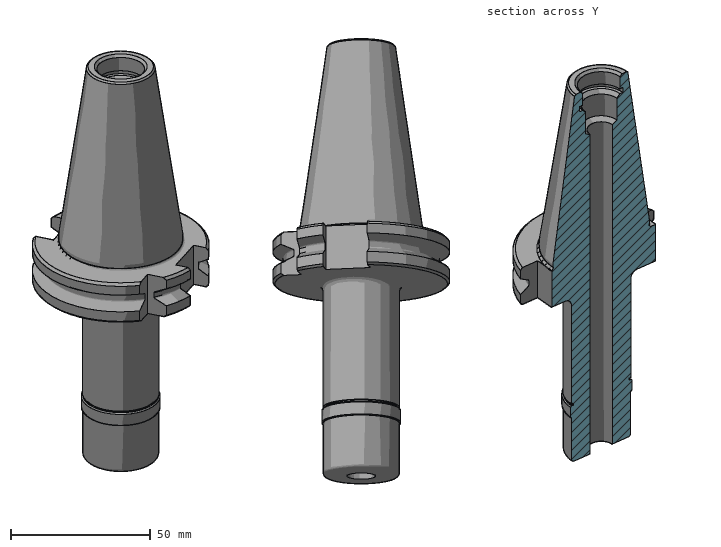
import cadquery as cq
import math

TOP_Z = 68.5
OVERALL_LENGTH = 158.4
BOTTOM_Z = TOP_Z - OVERALL_LENGTH

GAUGE_DIAMETER = 44.5
GAUGE_RADIUS = GAUGE_DIAMETER / 2
TAPER_RATIO = 7 / 24
TAPER_BASE_Z = -0.6
TAPER_TOP_CHAMFER = 0.6

NECK_GROOVE_TOP_Z = -1.9
NECK_GROOVE_DEPTH = 0.2
NECK_FILLET = 1.0

FLANGE_DIAMETER = 63.5
FLANGE_RADIUS = FLANGE_DIAMETER / 2
FLANGE_TOP_Z = -3.2
FLANGE_THICKNESS = 16.0
FLANGE_BOTTOM_Z = FLANGE_TOP_Z - FLANGE_THICKNESS
FLANGE_TOP_CHAMFER = 1.0
FLANGE_BOTTOM_CHAMFER = 0.8
GROOVE_CENTRE_Z = -11.1
GROOVE_FLOOR_RADIUS = 28.0
GROOVE_FLOOR_WIDTH = 2.5
GROOVE_FLANK_ANGLE = 30.0
GROOVE_FLOOR_FILLET = 0.6

KEY_SLOT_WIDTH = 16.2
KEY_SLOT_FLOOR_LEFT = 22.8
KEY_SLOT_FLOOR_RIGHT = 25.0
CORNER_NOTCH_OFFSET = 18.5

BODY_RADIUS = 13.8
LOWER_BODY_DIAMETER = 27.4
LOWER_BODY_RADIUS = LOWER_BODY_DIAMETER / 2
BODY_FILLET = 2.9
BODY_END_FILLET = 1.3
COLLAR_DIAMETER = 28.4
COLLAR_RADIUS = COLLAR_DIAMETER / 2
COLLAR_TOP_Z = -65.4
COLLAR_BOTTOM_Z = -70.6
COLLAR_TOP_CHAMFER = 0.5
COLLAR_BOTTOM_CHAMFER = 0.3
COLLAR_GROOVE_WIDTH = 0.6
COLLAR_GROOVE_DEPTH = 0.8

BORE_RADIUS = 5.0
COUNTERBORE_RADIUS = 8.5
COUNTERBORE_DEPTH = 6.3
COUNTERBORE_CHAMFER = 1.0
UNDERCUT_RADIUS = 9.8
UNDERCUT_WIDTH = 1.9
DRILL_RADIUS = 7.1
DRILL_DEPTH = 19.0
DRILL_TIP_HALF_ANGLE = 59.0


def taper_radius(z):
    """Radius of the taper shank at height z."""
    return GAUGE_RADIUS - z * TAPER_RATIO / 2


def turned_body():
    """Outer shape of the holder, revolved about Z."""
    taper_base_radius = taper_radius(TAPER_BASE_Z)
    neck_radius = taper_base_radius - NECK_GROOVE_DEPTH
    shoulder_z = TOP_Z - TAPER_TOP_CHAMFER
    floor_half = GROOVE_FLOOR_WIDTH / 2
    flank_rise = (FLANGE_RADIUS - GROOVE_FLOOR_RADIUS) * math.tan(math.radians(GROOVE_FLANK_ANGLE))
    rim_half = floor_half + flank_rise
    fillet_mid = 1 - math.sqrt(0.5)
    collar_groove_top_z = COLLAR_TOP_Z + COLLAR_GROOVE_WIDTH
    collar_groove_radius = BODY_RADIUS - COLLAR_GROOVE_DEPTH

    profile = (
        cq.Workplane("XZ")
        .moveTo(0, TOP_Z)
        .lineTo(taper_radius(shoulder_z) - TAPER_TOP_CHAMFER, TOP_Z)
        .lineTo(taper_radius(shoulder_z), shoulder_z)
        .lineTo(taper_base_radius, TAPER_BASE_Z)
        .lineTo(taper_base_radius, NECK_GROOVE_TOP_Z)
        .lineTo(neck_radius, NECK_GROOVE_TOP_Z - NECK_GROOVE_DEPTH)
        .lineTo(neck_radius, FLANGE_TOP_Z + NECK_FILLET)
        .threePointArc(
            (neck_radius + NECK_FILLET * fillet_mid, FLANGE_TOP_Z + NECK_FILLET * fillet_mid),
            (neck_radius + NECK_FILLET, FLANGE_TOP_Z),
        )
        .lineTo(FLANGE_RADIUS - FLANGE_TOP_CHAMFER, FLANGE_TOP_Z)
        .lineTo(FLANGE_RADIUS, FLANGE_TOP_Z - FLANGE_TOP_CHAMFER)
        .lineTo(FLANGE_RADIUS, GROOVE_CENTRE_Z + rim_half)
        .lineTo(GROOVE_FLOOR_RADIUS, GROOVE_CENTRE_Z + floor_half)
        .lineTo(GROOVE_FLOOR_RADIUS, GROOVE_CENTRE_Z - floor_half)
        .lineTo(FLANGE_RADIUS, GROOVE_CENTRE_Z - rim_half)
        .lineTo(FLANGE_RADIUS, FLANGE_BOTTOM_Z + FLANGE_BOTTOM_CHAMFER)
        .lineTo(FLANGE_RADIUS - FLANGE_BOTTOM_CHAMFER, FLANGE_BOTTOM_Z)
        .lineTo(BODY_RADIUS + BODY_FILLET, FLANGE_BOTTOM_Z)
        .threePointArc(
            (BODY_RADIUS + BODY_FILLET * fillet_mid, FLANGE_BOTTOM_Z - BODY_FILLET * fillet_mid),
            (BODY_RADIUS, FLANGE_BOTTOM_Z - BODY_FILLET),
        )
        .lineTo(BODY_RADIUS, collar_groove_top_z)
        .lineTo(collar_groove_radius, collar_groove_top_z)
        .lineTo(collar_groove_radius, COLLAR_TOP_Z)
        .lineTo(COLLAR_RADIUS - COLLAR_TOP_CHAMFER, COLLAR_TOP_Z)
        .lineTo(COLLAR_RADIUS, COLLAR_TOP_Z - COLLAR_TOP_CHAMFER)
        .lineTo(COLLAR_RADIUS, COLLAR_BOTTOM_Z + COLLAR_BOTTOM_CHAMFER)
        .lineTo(COLLAR_RADIUS - COLLAR_BOTTOM_CHAMFER, COLLAR_BOTTOM_Z)
        .lineTo(LOWER_BODY_RADIUS, COLLAR_BOTTOM_Z)
        .lineTo(LOWER_BODY_RADIUS, BOTTOM_Z + BODY_END_FILLET)
        .threePointArc(
            (LOWER_BODY_RADIUS - BODY_END_FILLET * fillet_mid, BOTTOM_Z + BODY_END_FILLET * fillet_mid),
            (LOWER_BODY_RADIUS - BODY_END_FILLET, BOTTOM_Z),
        )
        .lineTo(0, BOTTOM_Z)
        .close()
    )
    body = profile.revolve(360, (0, 0, 0), (0, 1, 0))
    floor_corners = cq.selectors.BoxSelector(
        (-FLANGE_RADIUS, -FLANGE_RADIUS, GROOVE_CENTRE_Z - GROOVE_FLOOR_WIDTH),
        (FLANGE_RADIUS, FLANGE_RADIUS, GROOVE_CENTRE_Z + GROOVE_FLOOR_WIDTH),
    )
    return body.edges("%CIRCLE").edges(floor_corners).fillet(GROOVE_FLOOR_FILLET)


def stepped_bore():
    """Through bore that widens towards the small end of the taper."""
    step_z = TOP_Z - COUNTERBORE_DEPTH
    undercut_end_z = step_z - UNDERCUT_WIDTH
    drill_z = TOP_Z - DRILL_DEPTH
    step_chamfer = COUNTERBORE_RADIUS - DRILL_RADIUS
    tip_length = (DRILL_RADIUS - BORE_RADIUS) / math.tan(math.radians(DRILL_TIP_HALF_ANGLE))
    profile = (
        cq.Workplane("XZ")
        .moveTo(0, TOP_Z)
        .lineTo(COUNTERBORE_RADIUS + COUNTERBORE_CHAMFER, TOP_Z)
        .lineTo(COUNTERBORE_RADIUS, TOP_Z - COUNTERBORE_CHAMFER)
        .lineTo(COUNTERBORE_RADIUS, step_z)
        .lineTo(UNDERCUT_RADIUS, step_z)
        .lineTo(UNDERCUT_RADIUS, undercut_end_z)
        .lineTo(COUNTERBORE_RADIUS, undercut_end_z)
        .lineTo(DRILL_RADIUS, undercut_end_z - step_chamfer)
        .lineTo(DRILL_RADIUS, drill_z)
        .lineTo(BORE_RADIUS, drill_z - tip_length)
        .lineTo(BORE_RADIUS, BOTTOM_Z)
        .lineTo(0, BOTTOM_Z)
        .close()
    )
    return profile.revolve(360, (0, 0, 0), (0, 1, 0))


def flange_cut(x_near, x_far, y_near, y_far):
    """Box through the whole flange thickness between two opposite corners."""
    return (
        cq.Workplane("XY", origin=(0, 0, FLANGE_BOTTOM_Z))
        .moveTo(x_near, y_near)
        .lineTo(x_far, y_near)
        .lineTo(x_far, y_far)
        .lineTo(x_near, y_far)
        .close()
        .extrude(FLANGE_THICKNESS)
    )


half_slot = KEY_SLOT_WIDTH / 2
left_key_slot = flange_cut(-KEY_SLOT_FLOOR_LEFT, -FLANGE_RADIUS, -half_slot, half_slot)
right_key_slot = flange_cut(KEY_SLOT_FLOOR_RIGHT, FLANGE_RADIUS, -half_slot, half_slot)
corner_notch = flange_cut(CORNER_NOTCH_OFFSET, FLANGE_RADIUS, -CORNER_NOTCH_OFFSET, -FLANGE_RADIUS)

result = turned_body().cut(stepped_bore())
for cut_out in (left_key_slot, right_key_slot, corner_notch):
    result = result.cut(cut_out)